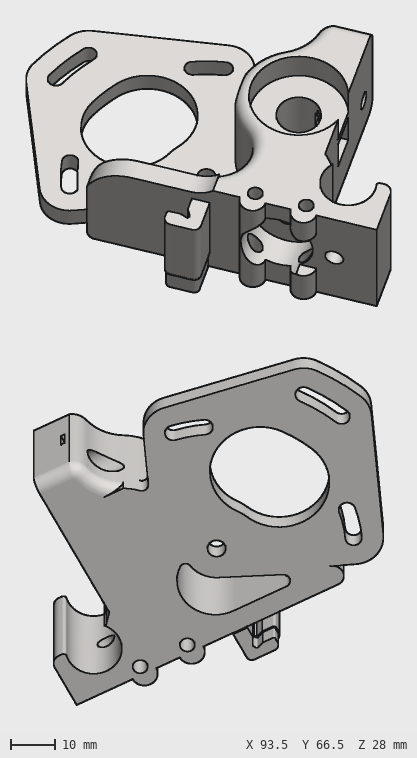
import cadquery as cq
import math


length = 93.5
height = 28.0
plate_thickness = 5.0

margin = 0.9

motor_pitch = 30.9
swing_middle = 150.8
swing = 13.4
swing_start = swing_middle - swing / 2
swing_end = swing_middle + swing / 2
slot_spacing_angle = 45
slot_radius = 1.9
opening_radius = 11.3
pivot_hole_radius = 2.1
pivot_rim_radius = 7.4
plate_corner_radius = 6.7
far_slot_distance = motor_pitch * math.sqrt(2)
pivot_x = plate_corner_radius - far_slot_distance * math.cos(math.radians(swing_end))
pivot_y = 20.75
neck_edge_length = 18.7
window_edge_angle = 24.6
window_fillet = 1.6
neck_upper_fillet = 1.5
neck_lower_fillet = 1.3
neck_upper_corner = (53.9, 39.9)
neck_lower_corner = (54.8, 22.6)
window_corner = (29.0, 5.0)

wall_thickness = 5.0
wall_left = 24.7
wall_height = 25.7
wall_corner_radius = 11.3
wall_end_round = 2.4
ramp_start = 49.45
ramp_end = 55.0

column_x, column_y = 65.6, 31.5
column_radius = 14.3
column_flat_x = 52.1
block_right = 76.1
block_back = 54.4
back_left = 67.0
lower_bend_radius = 8.7
upper_bend_start_y = 44.0
upper_bend_radius = 11.2
upper_bend_end_y = 51.2
rim_round = 3.0
bearing_radius = 11.2
bearing_depth = 7.0
bolt_hole_radius = 5.05
bolt_hole_floor = 7.0

hook_x, hook_y = 83.5, 10.9
hook_radius = 6.4
hook_arm_top = 13.0
hook_outer_round = 2.2
hook_inner_round = 0.75
lip_root_y = 17.5
lip_tip_x, lip_tip_y = 78.15, 15.05

socket_x, socket_z = 70.3, 15.0
socket_radius = 8.1
socket_depth = 7.0
filament_radius = 2.1
pin_y = 2.1
pin_radius = 1.7
pin_offset = 6.0
pin_boss_radius = 3.0
boss_gap_height = 12.7

filament_exit_right = 69.2
filament_exit_left = socket_x - filament_radius
idler_window_width = 7.85
idler_window_height = 8.0

arm_screw_z = 14.1
arm_screw_radius = 2.15
idler_screw_y, idler_screw_z = 47.5, 10.5
idler_screw_radius = 2.1
idler_head_radius = 3.55
idler_head_floor_x = 67.3

clip_left, clip_right = 45.7, 54.2
clip_stem_left = 50.0
clip_front = -8.5
clip_top = 23.4
clip_foot_inset = 0.3
clip_thickness = 3.55
clip_heel_round = 1.6
clip_toe_round = 1.8
clip_tip_round = 0.7
clip_groove_depth = 0.7
clip_groove_reach = 1.0
clip_groove_rise = 1.9


def polar(center, radius, angle):
    a = math.radians(angle)
    return (center[0] + radius * math.cos(a), center[1] + radius * math.sin(a))


def cylinder_z(x, y, radius, bottom, top):
    return cq.Workplane("XY", origin=(x, y, bottom)).circle(radius).extrude(top - bottom)


def cylinder_y(x, z, radius, front, back):
    return cq.Workplane("XZ", origin=(x, front, z)).circle(radius).extrude(front - back)


def cylinder_x(y, z, radius, left, right):
    return cq.Workplane("YZ", origin=(left, y, z)).circle(radius).extrude(right - left)


def box(x0, x1, y0, y1, z0, z1):
    return cq.Workplane("XY").box(x1 - x0, y1 - y0, z1 - z0, centered=False).translate((x0, y0, z0))


pivot = (pivot_x, pivot_y)
column = (column_x, column_y)

bend_y = wall_thickness + lower_bend_radius
bend_reach = column_radius + lower_bend_radius
bend_x = column_x - math.sqrt(bend_reach**2 - (column_y - bend_y) ** 2)
bend = (bend_x, bend_y)


def swing_slot(distance, angle, radius):
    """Arc-shaped cutter about the pivot, centred on the given direction."""
    a0, a1 = angle - swing / 2, angle + swing / 2
    return (
        cq.Workplane("XY")
        .moveTo(*polar(pivot, distance - radius, a0))
        .threePointArc(polar(pivot, distance - radius, angle), polar(pivot, distance - radius, a1))
        .threePointArc(
            polar(polar(pivot, distance, a1), radius, a1 + 90), polar(pivot, distance + radius, a1)
        )
        .threePointArc(polar(pivot, distance + radius, angle), polar(pivot, distance + radius, a0))
        .threePointArc(
            polar(polar(pivot, distance, a0), radius, a0 - 90), polar(pivot, distance - radius, a0)
        )
        .close()
        .extrude(plate_thickness)
    )


def make_motor_plate():
    """Plate whose corners are concentric with the outermost slot ends."""
    r = plate_corner_radius
    right_corner = polar(pivot, motor_pitch, swing_start - slot_spacing_angle)
    upper_corner = polar(pivot, far_slot_distance, swing_start)
    left_corner = polar(pivot, far_slot_distance, swing_end)
    lower_corner = polar(pivot, motor_pitch, swing_end + slot_spacing_angle)
    edge = swing_end - 90 - slot_spacing_angle
    top_edge = swing_start - 90 - slot_spacing_angle
    neck_start = polar(right_corner, r, edge)
    window_point = polar(pivot, pivot_rim_radius, window_edge_angle - 90)
    wall_middle = wall_thickness / 2
    window_run = (window_point[1] - wall_middle) / math.tan(math.radians(window_edge_angle))
    front_start = polar(lower_corner, r, edge - 90)
    front_run = (wall_thickness - front_start[1]) / math.tan(math.radians(edge))
    plate = (
        cq.Workplane("XY")
        .moveTo(*neck_start)
        .threePointArc(
            polar(right_corner, r, (edge + top_edge + 90) / 2), polar(right_corner, r, top_edge + 90)
        )
        .lineTo(*polar(upper_corner, r, top_edge + 90))
        .threePointArc(
            polar(upper_corner, r, (top_edge + 90 + swing_start) / 2), polar(upper_corner, r, swing_start)
        )
        .threePointArc(
            polar(pivot, far_slot_distance + r, swing_middle), polar(left_corner, r, swing_end)
        )
        .threePointArc(
            polar(left_corner, r, (swing_end + edge + 180) / 2), polar(left_corner, r, edge + 180)
        )
        .lineTo(*polar(lower_corner, r, edge + 180))
        .threePointArc(polar(lower_corner, r, edge + 225), front_start)
        .lineTo(front_start[0] + front_run, wall_thickness)
        .lineTo(front_start[0] + front_run, wall_middle)
        .lineTo(window_point[0] - window_run, wall_middle)
        .lineTo(*window_point)
        .lineTo(*pivot)
        .lineTo(*column)
        .lineTo(*polar(neck_start, neck_edge_length, edge - 90))
        .close()
        .extrude(plate_thickness)
    )
    return plate.union(cylinder_z(pivot_x, pivot_y, pivot_rim_radius, 0, plate_thickness))


def make_block(top):
    """Bearing block with the hook arm, extruded from the base to the given height."""
    toward_bend = math.degrees(math.atan2(bend_y - column_y, bend_x - column_x))
    toward_upper = 180 - math.degrees(math.asin((upper_bend_start_y - column_y) / column_radius))
    upper_bend = polar(column, column_radius + upper_bend_radius, toward_upper)
    upper_start_angle = toward_upper - 180
    upper_end_angle = math.degrees(math.asin((upper_bend_end_y - upper_bend[1]) / upper_bend_radius))
    bend_join = toward_bend + 180
    lip_x = hook_x - math.sqrt(hook_radius**2 - (lip_tip_y - hook_y) ** 2)
    arm_x = hook_x + math.sqrt(hook_radius**2 - (hook_arm_top - hook_inner_round - hook_y) ** 2)
    return (
        cq.Workplane("XY")
        .moveTo(bend_x, 0)
        .lineTo(bend_x, wall_thickness)
        .threePointArc(
            polar(bend, lower_bend_radius, (bend_join - 90) / 2), polar(column, column_radius, toward_bend)
        )
        .threePointArc((column_x - column_radius, column_y), polar(column, column_radius, toward_upper))
        .threePointArc(
            polar(upper_bend, upper_bend_radius, (upper_start_angle + upper_end_angle) / 2),
            polar(upper_bend, upper_bend_radius, upper_end_angle),
        )
        .tangentArcPoint((back_left, block_back), relative=False)
        .lineTo(block_right, block_back)
        .lineTo(block_right, lip_root_y)
        .lineTo(lip_tip_x, lip_tip_y)
        .lineTo(lip_x, lip_tip_y)
        .threePointArc((hook_x, hook_y - hook_radius), (arm_x, hook_arm_top - hook_inner_round))
        .radiusArc((arm_x + hook_inner_round, hook_arm_top), hook_inner_round)
        .lineTo(length - hook_outer_round, hook_arm_top)
        .radiusArc((length, hook_arm_top - hook_outer_round), hook_outer_round)
        .lineTo(length, 0)
        .close()
        .extrude(top)
    )


def round_flank(block):
    """Round the top and bottom edges along the S-shaped flank and the back."""
    for face, level in ((">Z", height), ("<Z", 0)):
        rim = cq.selectors.BoxSelector(
            (bend_x - column_radius, wall_thickness, level - margin),
            (block_right - margin, block_back + margin, level + margin),
        )
        block = block.faces(face).edges(rim).fillet(rim_round)
    return block


def cut_column_flat(block):
    """Flat on the side of the column that faces the motor plate."""
    return block.cut(box(column_flat_x - column_radius, column_flat_x, bend_y, block_back, 0, height))


def make_wall():
    wall = box(wall_left, ramp_end, 0, wall_thickness, 0, height)
    return wall.edges("|Z and <X").fillet(wall_end_round)


def wall_top_cutter():
    """Space above the wall: a rounded left corner, a level top and a hollow ramp up to the block."""
    rise = height - wall_height
    ramp_radius = ((ramp_end - ramp_start) ** 2 + rise**2) / (2 * rise)
    corner_x, corner_z = wall_left + wall_corner_radius, wall_height - wall_corner_radius
    return (
        cq.Workplane("XZ")
        .moveTo(wall_left, corner_z)
        .threePointArc(polar((corner_x, corner_z), wall_corner_radius, 135), (corner_x, wall_height))
        .lineTo(ramp_start, wall_height)
        .radiusArc((ramp_end, height), -ramp_radius)
        .lineTo(ramp_end, height + margin)
        .lineTo(wall_left - margin, height + margin)
        .lineTo(wall_left - margin, corner_z)
        .close()
        .extrude(-bend_y)
    )


def make_base_layer():
    """Plate-thick layer with fillets where the motor plate runs into the block and the wall."""
    foot = cut_column_flat(make_block(plate_thickness))
    foot = foot.intersect(box(0, length, 0, upper_bend_start_y, 0, plate_thickness))
    wall_foot = make_wall().intersect(box(wall_left, ramp_end, 0, wall_thickness, 0, plate_thickness))
    layer = make_motor_plate().union(foot).union(wall_foot)
    for near, radius in (
        (neck_upper_corner, neck_upper_fillet),
        (neck_lower_corner, neck_lower_fillet),
        (window_corner, window_fillet),
    ):
        point = (near[0], near[1], plate_thickness / 2)
        layer = layer.edges("|Z").edges(cq.selectors.NearestToPointSelector(point)).fillet(radius)
    return layer


def cut_motor_mount(body):
    for distance, offset in (
        (motor_pitch, -slot_spacing_angle),
        (far_slot_distance, 0),
        (motor_pitch, slot_spacing_angle),
    ):
        body = body.cut(swing_slot(distance, swing_middle + offset, slot_radius))
    body = body.cut(swing_slot(far_slot_distance / 2, swing_middle, opening_radius))
    return body.cut(cylinder_z(pivot_x, pivot_y, pivot_hole_radius, 0, plate_thickness))


def make_clip():
    """J-shaped clip; its foot is slightly smaller all round."""
    arm_back = clip_front + clip_thickness
    profile = (
        cq.Workplane("XY")
        .moveTo(clip_right, 0)
        .lineTo(clip_right, clip_front + clip_heel_round)
        .radiusArc((clip_right - clip_heel_round, clip_front), clip_heel_round)
        .lineTo(clip_left + clip_toe_round, clip_front)
        .radiusArc((clip_left, clip_front + clip_toe_round), clip_toe_round)
        .lineTo(clip_left, arm_back - clip_tip_round)
        .radiusArc((clip_left + clip_tip_round, arm_back), clip_tip_round)
        .lineTo(clip_stem_left - clip_groove_reach, arm_back)
        .lineTo(clip_stem_left + clip_groove_depth, arm_back - clip_groove_depth)
        .lineTo(clip_stem_left + clip_groove_reach, arm_back)
        .lineTo(clip_stem_left, arm_back + clip_groove_rise)
        .lineTo(clip_stem_left, 0)
        .close()
    )
    outline = profile.val()
    hook = cq.Workplane("XY").add(outline).toPending().extrude(clip_top - plate_thickness)
    hook = hook.translate((0, 0, plate_thickness))
    foot = profile.offset2D(-clip_foot_inset).extrude(plate_thickness)
    return hook.union(foot)


def cut_bearing_seat(body):
    seat = cylinder_z(column_x, column_y, bearing_radius, height - bearing_depth, height)
    bolt = cylinder_z(column_x, column_y, bolt_hole_radius, bolt_hole_floor, height)
    return body.cut(seat).cut(bolt)


def cut_hot_end_socket(body):
    socket = cylinder_y(socket_x, socket_z, socket_radius, -pin_boss_radius, socket_depth)
    filament = cylinder_y(socket_x, socket_z, filament_radius, 0, column_y)
    body = body.cut(socket).cut(filament)
    for side in (-1, 1):
        body = body.cut(cylinder_z(socket_x + side * pin_offset, pin_y, pin_radius, 0, height))
    boss_gap = box(
        socket_x, socket_x + pin_offset + pin_boss_radius, -pin_boss_radius, 0,
        socket_z - boss_gap_height / 2, socket_z + boss_gap_height / 2,
    )
    return body.cut(boss_gap)


def cut_filament_path(body):
    idler_window = box(
        column_x, block_right,
        column_y - idler_window_width / 2, column_y + idler_window_width / 2,
        socket_z - idler_window_height / 2, socket_z + idler_window_height / 2,
    )
    filament_exit = box(
        filament_exit_left, filament_exit_right, column_y, block_back,
        socket_z - filament_radius, socket_z + filament_radius,
    )
    return body.cut(idler_window).cut(filament_exit)


def cut_screw_holes(body):
    arm_screw = cylinder_y(hook_x, arm_screw_z, arm_screw_radius, 0, hook_y)
    idler_screw = cylinder_x(idler_screw_y, idler_screw_z, idler_screw_radius, bend_x, block_right)
    idler_head = cylinder_x(idler_screw_y, idler_screw_z, idler_head_radius, bend_x, idler_head_floor_x)
    return body.cut(arm_screw).cut(idler_screw).cut(idler_head)


block = cut_column_flat(round_flank(make_block(height)))
body = block.union(make_wall()).cut(wall_top_cutter())
body = body.union(cut_motor_mount(make_base_layer()))
for side in (-1, 1):
    body = body.union(cylinder_z(socket_x + side * pin_offset, 0, pin_boss_radius, 0, height))
body = cut_bearing_seat(body)
body = cut_hot_end_socket(body)
body = cut_filament_path(body)
body = cut_screw_holes(body)
result = body.union(make_clip())